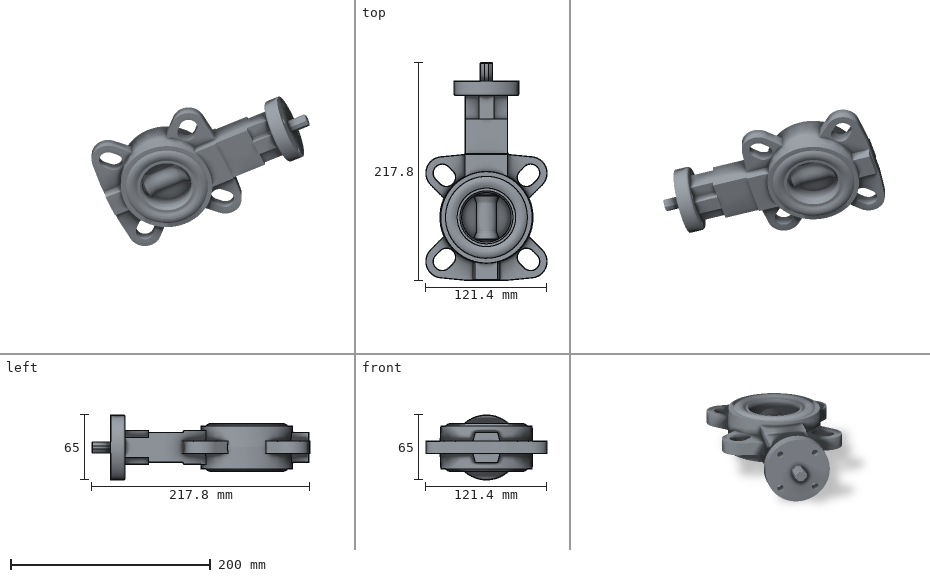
import cadquery as cq
import math


RING_MID_RADIUS = 46.6
RING_END_RADIUS = 45.75
RING_HALF_HEIGHT = 21.4

SEAT_HALF_HEIGHT = 24.0
BEAD_OUTER_RADIUS = 41.0
BEAD_CROWN_RADIUS = 35.4
BEAD_INNER_RADIUS = 30.5
BEAD_INNER_HEIGHT = 22.2
LIP_OUTER_RADIUS = 29.3
LIP_INNER_RADIUS = 26.5
LIP_HEIGHT = 21.6
BORE_RADIUS = 24.78
BORE_TAPER_START = 18.5

DISC_HALF_THICKNESS = 2.0
HUB_RADIUS = 10.25
HUB_FLARE_START = 14.9
HUB_BLEND_RADIUS = 4.0
HUB_END_RADIUS = 13.3
HUB_END_POSITION = 21.6
HUB_SHOULDER_RADIUS = 10.5
HUB_SHOULDER_POSITION = 22.6
HUB_EMBEDDED_END = 28.0

PLATE_THICKNESS = 12.5
PLATE_HALF_LENGTH = 63.0
LUG_RADIUS = 16.5
BOLT_CIRCLE_MAX = 125.0
BOLT_CIRCLE_MIN = 113.0
BOLT_SLOT_WIDTH = 18.0
PLATE_NECK_FILLET = 2.0

NECK_WIDTH = 42.6
NECK_THICKNESS = 30.0
COLLAR_THICKNESS = 34.0
COLLAR_BASE_END = 64.1
COLLAR_CREST_END = 63.0
RECESS_START = 98.2
RECESS_THICKNESS = 20.0
RIB_WIDTH = 14.7
RIB_THICKNESS = 34.0
RIB_FILLET = 2.2

FOOT_END = -62.0
FOOT_ROOT_WIDTH = 27.0
FOOT_CREST_WIDTH = 22.4
FOOT_THICKNESS = 30.0

FLANGE_DIAMETER = 65.0
FLANGE_START = 121.7
FLANGE_END = 136.4
FLANGE_FILLET = 2.2
FLANGE_BOLT_CIRCLE = 50.0
FLANGE_HOLE_DIAMETER = 6.5

OVERALL_LENGTH = 217.79
STEM_END = OVERALL_LENGTH - PLATE_HALF_LENGTH
STEM_ACROSS_FLATS = 11.0
STEM_ROTATION = 45
STEM_CORNER_WIDTH_X = 12.4
STEM_CORNER_WIDTH_Z = 11.2
STEM_CHAMFER = 0.6

BOLT_ANGLES = (45, 135, 225, 315)
PICK_MARGIN = 0.5
DIAGONAL = math.sqrt(0.5)


def box_along_y(width, thickness, y_start, y_end):
    """Box centred on the stem axis between two Y positions."""
    length = y_end - y_start
    return cq.Workplane("XY").box(width, length, thickness).translate((0, (y_start + y_end) / 2, 0))


def plane_at_y(y):
    """XZ sketch plane at Y = y whose normal points along +Y (sketch x is -X, sketch y is Z)."""
    return cq.Workplane(cq.Plane(origin=(0, y, 0), xDir=(-1, 0, 0), normal=(0, 1, 0)))


def make_ring():
    """Double-drafted body ring."""
    profile = (
        cq.Workplane("XZ")
        .moveTo(0, -RING_HALF_HEIGHT)
        .lineTo(RING_END_RADIUS, -RING_HALF_HEIGHT)
        .lineTo(RING_MID_RADIUS, 0)
        .lineTo(RING_END_RADIUS, RING_HALF_HEIGHT)
        .lineTo(0, RING_HALF_HEIGHT)
        .close()
    )
    return profile.revolve(360, (0, 0, 0), (0, 1, 0))


def corner_tangent_point(corner_x, corner_y, lug_center):
    """Outer point where the line from the plate corner touches the upper right lug circle."""
    dx = corner_x - lug_center
    dy = corner_y - lug_center
    angle = math.atan2(dy, dx) - math.acos(LUG_RADIUS / math.hypot(dx, dy))
    return lug_center + LUG_RADIUS * math.cos(angle), lug_center + LUG_RADIUS * math.sin(angle)


def make_plate():
    """Four-lug plate: lug flanks run at 45 degrees and the edges blend into the neck sides."""
    neck_x = NECK_WIDTH / 2
    lug_center = BOLT_CIRCLE_MAX / 2 * DIAGONAL
    top_x, top_y = corner_tangent_point(neck_x, PLATE_HALF_LENGTH, lug_center)
    flank_x = lug_center + LUG_RADIUS * DIAGONAL
    flank_y = lug_center - LUG_RADIUS * DIAGONAL
    waist_x = flank_x - flank_y
    stub_y = PLATE_HALF_LENGTH + 2 * PLATE_NECK_FILLET
    half = (
        cq.Workplane("XY")
        .workplane(offset=-PLATE_THICKNESS / 2)
        .moveTo(0, stub_y)
        .lineTo(neck_x, stub_y)
        .lineTo(neck_x, PLATE_HALF_LENGTH)
        .lineTo(top_x, top_y)
        .threePointArc((flank_x, flank_x), (flank_x, flank_y))
        .lineTo(waist_x, 0)
        .lineTo(flank_x, -flank_y)
        .threePointArc((flank_x, -flank_x), (top_x, -top_y))
        .lineTo(neck_x, -PLATE_HALF_LENGTH)
        .lineTo(0, -PLATE_HALF_LENGTH)
        .close()
        .extrude(PLATE_THICKNESS)
    )
    neck_corner = cq.selectors.BoxSelector(
        (neck_x - PICK_MARGIN, PLATE_HALF_LENGTH - PICK_MARGIN, -PLATE_THICKNESS),
        (neck_x + PICK_MARGIN, PLATE_HALF_LENGTH + PICK_MARGIN, PLATE_THICKNESS),
    )
    half = half.edges(neck_corner).fillet(PLATE_NECK_FILLET)
    return half.union(half.mirror("YZ"))


def make_bolt_slots():
    """Radial slots covering the range of flange bolt circles."""
    center_radius = (BOLT_CIRCLE_MAX + BOLT_CIRCLE_MIN) / 4
    slot_length = (BOLT_CIRCLE_MAX - BOLT_CIRCLE_MIN) / 2 + BOLT_SLOT_WIDTH
    slots = None
    for angle in BOLT_ANGLES:
        slot = (
            cq.Workplane("XY")
            .center(center_radius, 0)
            .slot2D(slot_length, BOLT_SLOT_WIDTH)
            .extrude(PLATE_THICKNESS / 2, both=True)
            .rotate((0, 0, 0), (0, 0, 1), angle)
        )
        slots = slots.union(slot) if slots else slot
    return slots


def make_neck():
    """Neck with a collar at the ring and side recesses that leave a central rib at the flange."""
    neck = box_along_y(NECK_WIDTH, NECK_THICKNESS, 0, RECESS_START)
    end = box_along_y(NECK_WIDTH, RECESS_THICKNESS, RECESS_START, FLANGE_START)
    rib = box_along_y(RIB_WIDTH, RIB_THICKNESS, RECESS_START, FLANGE_START)
    pick_x = RIB_WIDTH / 2 + PICK_MARGIN
    pick_z = RECESS_THICKNESS / 2 + PICK_MARGIN
    rib_roots = cq.selectors.BoxSelector((-pick_x, RECESS_START, -pick_z), (pick_x, FLANGE_START, pick_z))
    end = end.union(rib).edges("|Y").edges(rib_roots).fillet(RIB_FILLET)
    crest_z = COLLAR_THICKNESS / 2
    base_z = NECK_THICKNESS / 2
    collar = (
        cq.Workplane("YZ")
        .polyline([
            (0, -crest_z), (COLLAR_CREST_END, -crest_z), (COLLAR_BASE_END, -base_z),
            (COLLAR_BASE_END, base_z), (COLLAR_CREST_END, crest_z), (0, crest_z),
        ])
        .close()
        .extrude(NECK_WIDTH / 2, both=True)
    )
    return neck.union(end).union(collar)


def make_foot():
    """Tapered blocks on both faces of the plate, opposite the neck."""
    root_z = PLATE_THICKNESS / 2
    crest_z = FOOT_THICKNESS / 2
    root_x = FOOT_ROOT_WIDTH / 2
    crest_x = FOOT_CREST_WIDTH / 2
    return (
        plane_at_y(FOOT_END)
        .polyline([
            (-crest_x, -crest_z), (crest_x, -crest_z), (root_x, -root_z), (root_x, root_z),
            (crest_x, crest_z), (-crest_x, crest_z), (-root_x, root_z), (-root_x, -root_z),
        ])
        .close()
        .extrude(-FOOT_END)
    )


def make_flange():
    """Round actuator flange with its bolt holes on the diagonals."""
    flange = (
        plane_at_y(FLANGE_START)
        .circle(FLANGE_DIAMETER / 2)
        .extrude(FLANGE_END - FLANGE_START)
        .edges("<Y")
        .fillet(FLANGE_FILLET)
    )
    holes = (
        plane_at_y(FLANGE_START)
        .polarArray(FLANGE_BOLT_CIRCLE / 2, BOLT_ANGLES[0], 360, len(BOLT_ANGLES))
        .circle(FLANGE_HOLE_DIAMETER / 2)
        .extrude(FLANGE_END - FLANGE_START)
    )
    return flange.cut(holes)


def make_stem():
    """Square drive set on edge, with its corners cut off."""
    length = STEM_END - FLANGE_END
    square = (
        plane_at_y(FLANGE_END)
        .transformed(rotate=(0, 0, STEM_ROTATION))
        .rect(STEM_ACROSS_FLATS, STEM_ACROSS_FLATS)
        .extrude(length)
    )
    limits = box_along_y(STEM_CORNER_WIDTH_X, STEM_CORNER_WIDTH_Z, FLANGE_END, STEM_END)
    return square.intersect(limits).faces(">Y").chamfer(STEM_CHAMFER)


def bead_middle(foot_radius, foot_height):
    """Point of the bead arc midway between its crown (level there) and its foot."""
    width = foot_radius - BEAD_CROWN_RADIUS
    drop = SEAT_HALF_HEIGHT - foot_height
    arc_radius = (width**2 + drop**2) / (2 * drop)
    half_angle = math.asin(width / arc_radius) / 2
    return (
        BEAD_CROWN_RADIUS + arc_radius * math.sin(half_angle),
        SEAT_HALF_HEIGHT - arc_radius * (1 - math.cos(half_angle)),
    )


def make_seat_half():
    """Upper half of the seat: raised sealing bead, flat lip and tapered bore mouth."""
    crown = (BEAD_CROWN_RADIUS, SEAT_HALF_HEIGHT)
    inner_foot = (BEAD_INNER_RADIUS, BEAD_INNER_HEIGHT)
    outer_foot = (BEAD_OUTER_RADIUS, RING_HALF_HEIGHT)
    return (
        cq.Workplane("XZ")
        .moveTo(BORE_RADIUS, 0)
        .lineTo(BORE_RADIUS, BORE_TAPER_START)
        .lineTo(LIP_INNER_RADIUS, LIP_HEIGHT)
        .lineTo(LIP_OUTER_RADIUS, LIP_HEIGHT)
        .lineTo(*inner_foot)
        .threePointArc(bead_middle(*inner_foot), crown)
        .threePointArc(bead_middle(*outer_foot), outer_foot)
        .lineTo(BEAD_OUTER_RADIUS, 0)
        .close()
        .revolve(360, (0, 0, 0), (0, 1, 0))
    )


def make_disc():
    """Closed disc with a shaft hub that flares towards both ends."""
    plate = cq.Workplane("XY").circle(LIP_INNER_RADIUS).extrude(DISC_HALF_THICKNESS, both=True)
    hub = (
        cq.Workplane("XY")
        .moveTo(0, -HUB_EMBEDDED_END)
        .lineTo(HUB_SHOULDER_RADIUS, -HUB_EMBEDDED_END)
        .lineTo(HUB_SHOULDER_RADIUS, -HUB_SHOULDER_POSITION)
        .lineTo(HUB_END_RADIUS, -HUB_END_POSITION)
        .lineTo(HUB_RADIUS, -HUB_FLARE_START)
        .lineTo(HUB_RADIUS, HUB_FLARE_START)
        .lineTo(HUB_END_RADIUS, HUB_END_POSITION)
        .lineTo(HUB_SHOULDER_RADIUS, HUB_SHOULDER_POSITION)
        .lineTo(HUB_SHOULDER_RADIUS, HUB_EMBEDDED_END)
        .lineTo(0, HUB_EMBEDDED_END)
        .close()
        .revolve(360, (0, 0, 0), (0, 1, 0))
    )
    flare_y = HUB_FLARE_START + PICK_MARGIN
    flare_pick = cq.selectors.BoxSelector(
        (-HUB_RADIUS, -flare_y, -HUB_RADIUS),
        (HUB_RADIUS, flare_y, HUB_RADIUS),
    )
    hub = hub.edges("%CIRCLE").edges(flare_pick).fillet(HUB_BLEND_RADIUS)
    return plate.union(hub)


seat_pocket = cq.Workplane("XY").circle(BEAD_OUTER_RADIUS).extrude(SEAT_HALF_HEIGHT, both=True)
seat_half = make_seat_half()

body = make_ring().union(make_plate()).union(make_neck()).union(make_foot())
body = body.cut(make_bolt_slots()).cut(seat_pocket)
body = body.union(seat_half).union(seat_half.mirror("XY")).union(make_disc())
result = body.union(make_flange()).union(make_stem())